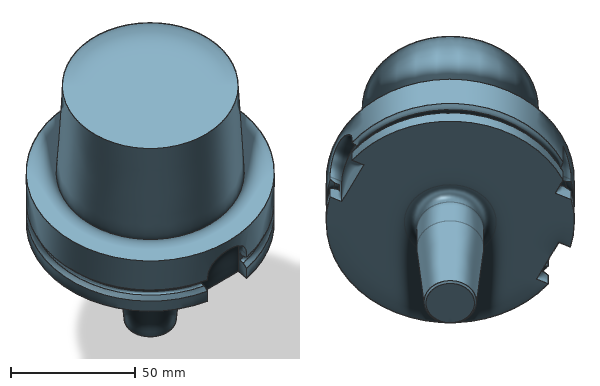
import cadquery as cq
import math

total_height = 135.0
cone_height = 50.0
flange_thickness = 29.0
neck_fillet_radius = 5.0
taper_height = 38.1
flange_top = total_height - cone_height
flange_bottom = flange_top - flange_thickness
neck_top = flange_bottom - neck_fillet_radius

cone_base_radius = 38.0
cone_slope = 1 / 20
cone_top_radius = cone_base_radius - cone_slope * cone_height

flange_radius = 100.0 / 2
groove_radius = 45.9
groove_lip_radius = 47.9
groove_flank_height = 1.4
groove_drop = 18.1
groove_width = 3.8
groove_top = flange_top - groove_drop
groove_bottom = groove_top - groove_width

neck_radius = 27.0 / 2
nose_taper_angle = 4.4
nose_tip_radius = neck_radius - taper_height * math.tan(math.radians(nose_taper_angle))
tip_chamfer = 0.8
neck_flare_radius = neck_radius + neck_fillet_radius

slot_width = 20.2
slot_radius = slot_width / 2
slot_top_margin = 5.0
slot_arc_height = flange_top - slot_top_margin - slot_radius
drive_floor_x = 43.7
notch_floor_x = 31.7
notch_offset_y = 41.6


def make_cone():
    """Clamping cone standing on the flange face."""
    outline = [
        (0, flange_top),
        (cone_base_radius, flange_top),
        (cone_top_radius, total_height),
        (0, total_height),
    ]
    return cq.Workplane("XZ").polyline(outline).close().revolve(360, (0, 0), (0, 1))


def make_turned_body():
    """Flange with its groove, flared neck and tapered nose."""
    return (
        cq.Workplane("XZ")
        .moveTo(0, 0)
        .lineTo(nose_tip_radius - tip_chamfer, 0)
        .lineTo(nose_tip_radius, tip_chamfer)
        .lineTo(neck_radius, taper_height)
        .lineTo(neck_radius, neck_top)
        .radiusArc((neck_flare_radius, flange_bottom), neck_fillet_radius)
        .lineTo(flange_radius, flange_bottom)
        .lineTo(flange_radius, groove_bottom - groove_flank_height)
        .lineTo(groove_lip_radius, groove_bottom)
        .lineTo(groove_radius, groove_bottom)
        .lineTo(groove_radius, groove_top)
        .lineTo(groove_lip_radius, groove_top)
        .lineTo(flange_radius, groove_top + groove_flank_height)
        .lineTo(flange_radius, flange_top)
        .lineTo(0, flange_top)
        .close()
        .revolve(360, (0, 0), (0, 1))
    )


def slot_cutter(side, floor_x, center_y):
    """Round-topped cutter running outward along X on the given side (-1 or +1)."""
    return (
        cq.Workplane("YZ", origin=(side * floor_x, center_y, 0))
        .moveTo(-slot_radius, flange_bottom)
        .lineTo(-slot_radius, slot_arc_height)
        .threePointArc((0, slot_arc_height + slot_radius), (slot_radius, slot_arc_height))
        .lineTo(slot_radius, flange_bottom)
        .close()
        .extrude(side * flange_radius)
    )


cone = make_cone()

holder = make_turned_body()
for side in (-1, 1):
    holder = holder.cut(slot_cutter(side, drive_floor_x, 0))
holder = holder.cut(slot_cutter(-1, notch_floor_x, notch_offset_y))

result = cq.Compound.makeCompound([holder.val(), cone.val()])